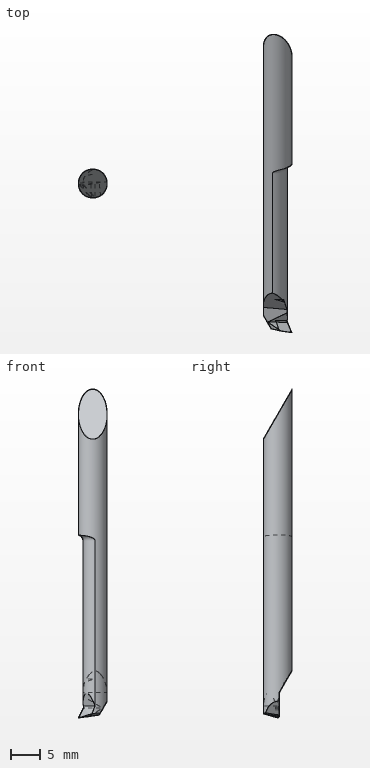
import cadquery as cq
import math

LENGTH = 56.6
DIAMETER = 5.0
RADIUS = DIAMETER / 2
END_ANGLE = 30.0
BIG = 4 * DIAMETER

NECK_OFFSET = 0.8
NECK_TOP = 31.45
NECK_FILLET = 1.0

BACK_Y = 0.3
BACK_CHAMFER_TOP = 8.2
CHAMFER_TOP = 2.9
BOTTOM_NORMAL = (0.15, -0.15, -1)
NOSE = cq.Vector(-RADIUS, 0, 0)

GROOVE_X = -1.7
GROOVE_Y = -0.4
GROOVE_Z = 1.7
GROOVE_RISE = 0.2
GROOVE_LOWER_SLOPE = (GROOVE_RISE * (RADIUS + GROOVE_X) - GROOVE_Y) / GROOVE_Z
GROOVE_UPPER_SLOPE = 0.33

RELIEF_TOP = 4.25
RELIEF_DIRECTION = 222.0
RELIEF_ANGLE = 14.5

SEAT_Z = 2.05
INNER_CORNER = cq.Vector(-1.65, -0.4, 1.65)
UPPER_CORNER = cq.Vector(NECK_OFFSET / 2, -math.sqrt(RADIUS**2 - (NECK_OFFSET / 2)**2), SEAT_Z)
FRONT_CORNER_X = -0.3
FRONT_CORNER_Z = 0.45
FRONT_CORNER = cq.Vector(FRONT_CORNER_X, -math.sqrt(RADIUS**2 - FRONT_CORNER_X**2), FRONT_CORNER_Z)


def half_space(point, normal):
    """Large block lying on the side of a plane to which the normal points."""
    plane = cq.Plane(origin=point, normal=normal)
    return cq.Workplane(plane).rect(BIG, BIG).extrude(BIG)


def make_shank():
    """Full round shank with the sloped upper end."""
    shank = cq.Workplane("XY").circle(RADIUS).extrude(LENGTH)
    slope = math.tan(math.radians(END_ANGLE))
    return shank.cut(half_space((0, RADIUS, LENGTH), (0, -1, slope)))


def make_neck_cut():
    """Ring around the shifted neck axis, rounded where it runs out upward."""
    step = NECK_OFFSET
    run_out = math.sqrt(NECK_FILLET**2 - (NECK_FILLET - step)**2)
    fillet_start = NECK_TOP - run_out
    half_angle = math.acos(1 - step / NECK_FILLET) / 2
    arc_middle = (
        RADIUS + NECK_FILLET * (1 - math.cos(half_angle)),
        fillet_start + NECK_FILLET * math.sin(half_angle),
    )
    profile = (
        cq.Workplane("XZ", origin=(NECK_OFFSET, 0, 0))
        .moveTo(RADIUS, SEAT_Z)
        .lineTo(RADIUS, fillet_start)
        .threePointArc(arc_middle, (RADIUS + step, NECK_TOP))
        .lineTo(DIAMETER, NECK_TOP)
        .lineTo(DIAMETER, SEAT_Z)
        .close()
    )
    return profile.revolve(360, (0, 0, 0), (0, 1, 0))


def make_relief_cut():
    """Flat that runs into the neck, from its top down to the tip seat."""
    heading = math.radians(RELIEF_DIRECTION)
    tilt = math.radians(RELIEF_ANGLE)
    top = (NECK_OFFSET + RADIUS * math.cos(heading), RADIUS * math.sin(heading), RELIEF_TOP)
    normal = (
        math.cos(heading) * math.cos(tilt),
        math.sin(heading) * math.cos(tilt),
        -math.sin(tilt),
    )
    height = RELIEF_TOP - SEAT_Z
    band = cq.Workplane("XY", origin=(0, 0, SEAT_Z)).rect(BIG, BIG).extrude(height)
    return half_space(top, normal).intersect(band)


def make_groove_cut():
    """V groove extruded along a line that rises out of the flat back."""
    start_x = -DIAMETER
    floor_y = GROOVE_Y + GROOVE_RISE * (start_x - GROOVE_X)
    plane = cq.Plane(origin=(start_x, floor_y, GROOVE_Z), xDir=(0, 0, 1), normal=(1, 0, 0))
    path_length = 2 * DIAMETER
    path = cq.Workplane("XY").moveTo(start_x, floor_y)
    path = path.lineTo(start_x + path_length, floor_y + GROOVE_RISE * path_length)
    path = path.translate((0, 0, GROOVE_Z))
    profile = cq.Workplane(plane).polyline([
        (0, 0),
        (DIAMETER, -GROOVE_UPPER_SLOPE * DIAMETER),
        (-DIAMETER, -GROOVE_UPPER_SLOPE * DIAMETER),
        (-DIAMETER, -GROOVE_LOWER_SLOPE * DIAMETER),
    ]).close()
    return profile.sweep(path)


def trim_lower_end(body):
    """Apply the back flat, chamfers, chip groove and sloping bottom."""
    slope = math.tan(math.radians(END_ANGLE))
    flat_top = BACK_CHAMFER_TOP - (RADIUS - BACK_Y) / slope
    back = (
        cq.Workplane("YZ", origin=(-BIG / 2, 0, 0))
        .moveTo(BACK_Y, -DIAMETER)
        .lineTo(BACK_Y, flat_top)
        .lineTo(RADIUS, BACK_CHAMFER_TOP)
        .lineTo(DIAMETER, BACK_CHAMFER_TOP)
        .lineTo(DIAMETER, -DIAMETER)
        .close()
        .extrude(BIG)
    )
    body = body.cut(back)
    body = body.cut(half_space((RADIUS, 0, CHAMFER_TOP), (1, 0, -slope)))
    body = body.cut(make_groove_cut())
    return body.cut(half_space(NOSE, BOTTOM_NORMAL))


def make_tip_seat():
    """Space below the seat face and on the -X side of the seat wall."""
    seat = cq.Workplane("XY", origin=(0, 0, SEAT_Z)).rect(BIG, BIG).extrude(-BIG)
    side = UPPER_CORNER - FRONT_CORNER
    return seat.cut(half_space(UPPER_CORNER, (side.z, 0, -side.x)))


def make_bar():
    """Boring bar with an open seat for the cutting tip."""
    bar = make_shank().cut(make_neck_cut()).cut(make_relief_cut())
    return trim_lower_end(bar).cut(make_tip_seat())


def make_tip():
    """Cutting tip, kept inside the shank diameter and trimmed with the bar."""
    tip = trim_lower_end(make_shank().intersect(make_tip_seat()))
    flank_edge = FRONT_CORNER - INNER_CORNER
    upper_normal = flank_edge.cross(UPPER_CORNER - INNER_CORNER)
    lower_normal = (NOSE - INNER_CORNER).cross(flank_edge)
    tip = tip.cut(half_space(INNER_CORNER, upper_normal))
    return tip.cut(half_space(INNER_CORNER, lower_normal))


bar = make_bar()
tip = make_tip()
result = cq.Compound.makeCompound([bar.solids().val(), tip.solids().val()])